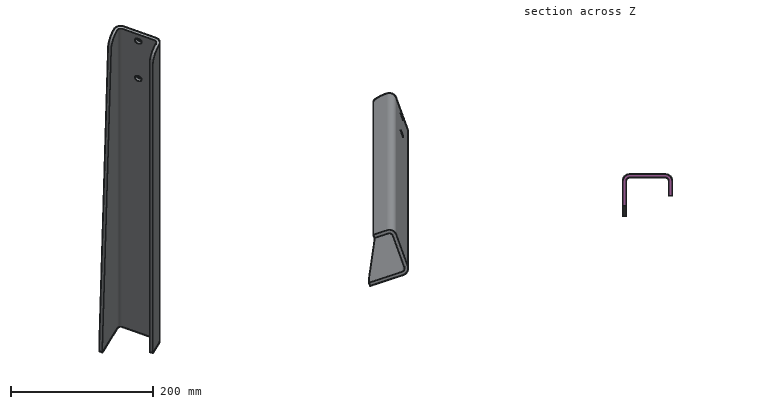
import cadquery as cq

width = 70.0
depth = 60.0
height = 642.0

sheet = 5.0
outer_bend_radius = 10.0
inner_bend_radius = outer_bend_radius - sheet

narrow_depth = 31.0
foot_height = 20.0
corner_radius = 20.0

hole_diameter = 10.0
top_hole_drop = 15.0
hole_pitch = 80.0

back = depth / 2
side = width / 2
narrow_edge = back - narrow_depth
shoulder = height - corner_radius


def rounded_block(block_width, back_face, bend_radius):
    """Full-height block with its two back vertical edges rounded."""
    return (
        cq.Workplane("XY")
        .box(block_width, back_face + back, height, centered=(True, False, False))
        .translate((0, -back, 0))
        .edges("|Z and >Y")
        .fillet(bend_radius)
    )


def make_channel():
    """U channel, open towards -Y, with flanges of full depth."""
    outside = rounded_block(width, back, outer_bend_radius)
    inside = rounded_block(width - 2 * sheet, back - sheet, inner_bend_radius)
    return outside.cut(inside)


def flange_profile(foot_edge, start_x):
    """Half-width solid of the flange outline: upright foot, straight front edge, round top corner."""
    return (
        cq.Workplane("YZ", origin=(start_x, 0, 0))
        .moveTo(back, 0)
        .lineTo(foot_edge, 0)
        .lineTo(foot_edge, foot_height)
        .lineTo(narrow_edge, shoulder)
        .radiusArc((narrow_edge + corner_radius, height), corner_radius)
        .lineTo(back, height)
        .close()
        .extrude(side)
    )


def make_holes():
    """Cylinders along Y for the two mounting holes, on the web's centre line."""
    upper = height - top_hole_drop
    return (
        cq.Workplane("XZ", origin=(0, back, 0))
        .pushPoints([(0, upper), (0, upper - hole_pitch)])
        .circle(hole_diameter / 2)
        .extrude(depth)
    )


tapered_half = flange_profile(-back, -side)
straight_half = flange_profile(narrow_edge, 0)
result = make_channel().intersect(tapered_half.union(straight_half)).cut(make_holes())